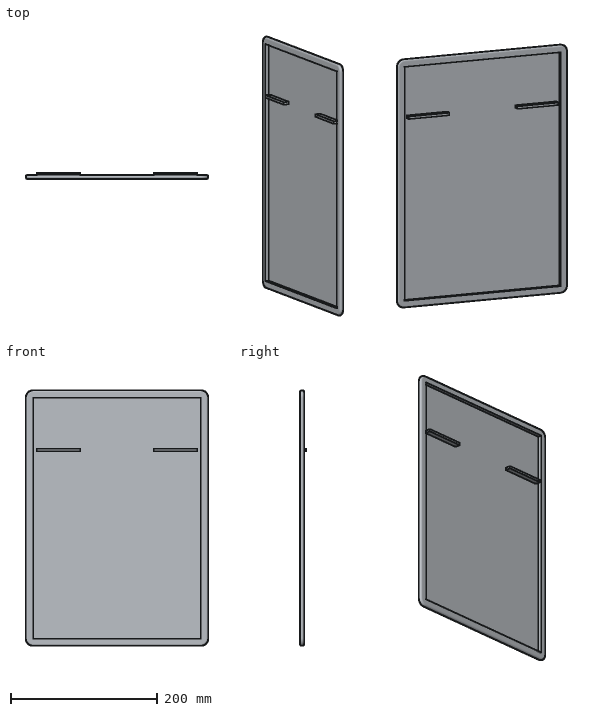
import cadquery as cq

panel_width = 250.0
panel_height = 350.0
panel_thickness = 6.0
corner_radius = 10.0
rim_radius = 2.95
overall_depth = 8.5

tray_margin = 10.0
front_wall = 0.52

strip_length = 60.0
strip_height = 3.5
strip_side_inset = 15.0
strip_top_inset = 80.0

front_y = -panel_thickness / 2
rear_y = panel_thickness / 2
floor_y = front_y + front_wall
strip_rear_y = front_y + overall_depth
strip_center_x = panel_width / 2 - strip_side_inset - strip_length / 2
strip_center_z = panel_height / 2 - strip_top_inset - strip_height / 2


def upright_block(width, height, start_y, end_y, center_x=0, center_z=0):
    """Rectangular block spanning start_y to end_y."""
    depth = end_y - start_y
    return (
        cq.Workplane("XY")
        .box(width, depth, height)
        .translate((center_x, start_y + depth / 2, center_z))
    )


def rounded_panel():
    """Plate with round corners and both rims rounded over."""
    plate = upright_block(panel_width, panel_height, front_y, rear_y)
    plate = plate.edges("|Y").fillet(corner_radius)
    return plate.faces("<Y or >Y").edges().fillet(rim_radius)


tray = upright_block(
    panel_width - 2 * tray_margin, panel_height - 2 * tray_margin, floor_y, rear_y
)
result = rounded_panel().cut(tray)

for side in (-1, 1):
    strip = upright_block(
        strip_length, strip_height, floor_y, strip_rear_y, side * strip_center_x, strip_center_z
    )
    result = result.union(strip)